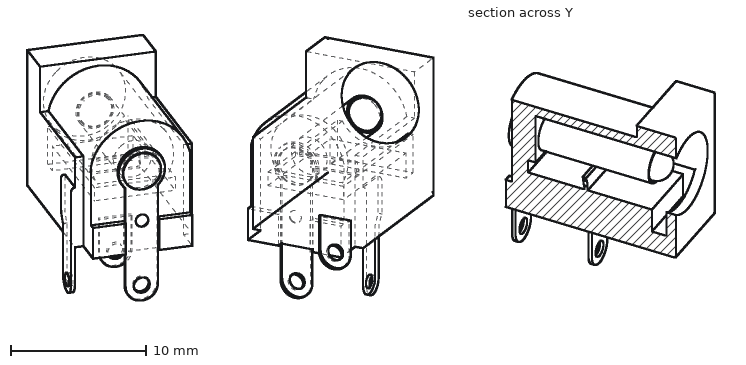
import cadquery as cq
import math


HOUSING_WIDTH = 9.0
OVERALL_HEIGHT = 15.01
HOUSING_HEIGHT = 11.0
FLANGE_DEPTH = 3.3
FLANGE_EDGE_RADIUS = 0.2
SHOULDER_HEIGHT = 7.31
TERMINAL_SIDE_END = 11.85
PLAIN_SIDE_END = 12.08
BARREL_END = 13.7
BARREL_RADIUS = 3.93
AXIS_HEIGHT = 6.53
FOOT_END = 14.2
FOOT_HEIGHT = 2.5
FOOT_SLOT_WIDTH = 2.63

BORE_RADIUS = 3.2
BORE_DEPTH = 11.71
LIP_DEPTH = 0.83
TRENCH_END = 2.01
TRENCH_FLOOR = 1.8
POCKET_WIDTH = 6.27
POCKET_FLOOR = 3.8
POCKET_TOP = 4.86
POCKET_END = 12.31

SHEET = 0.3
LEG_WIDTH = 2.5
LEG_HOLE_RADIUS = 0.62
LEG_BOTTOM = HOUSING_HEIGHT - OVERALL_HEIGHT
FRONT_LEG_START = 7.35
LEAF_BASE_WIDTH = 3.9
LEAF_TOP_WIDTH = 3.66
LEAF_LEAN = 0.14
SIDE_LEG_WIDTH = 2.01
SIDE_HEAD_WIDTH = 2.5
SIDE_HOLE_RADIUS = 0.51
SIDE_TAPER_TOP = 1.89
SIDE_TAPER_BOTTOM = 1.11
SIDE_BEND_RADIUS = 0.29

PLATE_RADIUS = 1.8
PIN_RADIUS = 1.47
PIN_HEAD_END = 14.11
PIN_SHOULDER = 2.54
GROOVE_RADIUS = 1.37
GROOVE_DEPTH = 0.09
TIP_RADIUS = 1.28
DIMPLE_RADIUS = 0.48
DIMPLE_HEIGHT = 0.17
DIMPLE_EDGE_RADIUS = 0.12


def block(x_start, x_end, y_start, y_end, z_start, z_end):
    size = (x_end - x_start, y_end - y_start, z_end - z_start)
    return cq.Workplane("XY").box(*size, centered=False).translate((x_start, y_start, z_start))


def rod(x_start, x_end, radius, z=AXIS_HEIGHT):
    return cq.Workplane("YZ", origin=(x_start, 0, z)).circle(radius).extrude(x_end - x_start)


def pin_leg(x_start, top):
    """Upright strip facing along X with a round, drilled lower end."""
    end_centre = LEG_BOTTOM + LEG_WIDTH / 2
    half_width = LEG_WIDTH / 2
    strip = block(x_start, x_start + SHEET, -half_width, half_width, end_centre, top)
    strip = strip.union(rod(x_start, x_start + SHEET, half_width, end_centre))
    return strip.cut(rod(x_start, x_start + SHEET, LEG_HOLE_RADIUS, end_centre))


def housing_shell():
    """Square flange, round-topped barrel, wide lower body and a slotted foot at the rear."""
    half_width = HOUSING_WIDTH / 2
    flange = block(0, FLANGE_DEPTH, -half_width, half_width, 0, HOUSING_HEIGHT)
    flange = flange.faces("<X").edges().fillet(FLANGE_EDGE_RADIUS)

    barrel_half_width = math.sqrt(BARREL_RADIUS**2 - (SHOULDER_HEIGHT - AXIS_HEIGHT) ** 2)
    barrel = rod(FLANGE_DEPTH, BARREL_END, BARREL_RADIUS).intersect(
        block(FLANGE_DEPTH, BARREL_END, -barrel_half_width, barrel_half_width, 0, HOUSING_HEIGHT)
    )
    trunk = block(FLANGE_DEPTH, BARREL_END, -barrel_half_width, barrel_half_width, 0, SHOULDER_HEIGHT)
    terminal_side = block(FLANGE_DEPTH, TERMINAL_SIDE_END, -half_width, 0, 0, SHOULDER_HEIGHT)
    plain_side = block(FLANGE_DEPTH, PLAIN_SIDE_END, 0, half_width, 0, SHOULDER_HEIGHT)
    foot = block(BARREL_END, FOOT_END, -barrel_half_width, barrel_half_width, 0, FOOT_HEIGHT)
    foot = foot.cut(block(BARREL_END, FOOT_END, -FOOT_SLOT_WIDTH / 2, FOOT_SLOT_WIDTH / 2, 0, FOOT_HEIGHT))
    return flange.union(barrel).union(trunk).union(terminal_side).union(plain_side).union(foot)


def socket_cavity():
    """Bore with a wide pocket below it, leaving a lip at the mouth and a trench behind the lip."""
    half_width = POCKET_WIDTH / 2
    pocket = block(LIP_DEPTH, POCKET_END, -half_width, half_width, POCKET_FLOOR, POCKET_TOP)
    trench = block(LIP_DEPTH, TRENCH_END, -half_width, half_width, TRENCH_FLOOR, POCKET_FLOOR)
    uncut_base = block(LIP_DEPTH, BORE_DEPTH, -half_width, half_width, TRENCH_FLOOR, POCKET_FLOOR)
    return rod(0, BORE_DEPTH, BORE_RADIUS).cut(uncut_base).union(pocket).union(trench)


def spring_leaf():
    """Sheet that rises from the front leg, leans back, narrows upwards and has one ear at its top."""
    half_base = LEAF_BASE_WIDTH / 2
    half_top = LEAF_TOP_WIDTH / 2
    outline = [
        (-half_base, POCKET_FLOOR),
        (half_base, POCKET_FLOOR),
        (half_top, POCKET_TOP - SHEET),
        (POCKET_WIDTH / 2, POCKET_TOP - SHEET),
        (POCKET_WIDTH / 2, POCKET_TOP),
        (-half_top, POCKET_TOP),
    ]
    profile = [
        (FRONT_LEG_START, POCKET_FLOOR),
        (FRONT_LEG_START + SHEET, POCKET_FLOOR),
        (FRONT_LEG_START + SHEET + LEAF_LEAN, POCKET_TOP),
        (FRONT_LEG_START + LEAF_LEAN, POCKET_TOP),
    ]
    face = cq.Workplane("YZ").polyline(outline).close().extrude(BORE_DEPTH)
    side = cq.Workplane("XZ").polyline(profile).close().extrude(POCKET_WIDTH / 2, both=True)
    return face.intersect(side)


def side_terminal():
    """Strip lying on the -Y side, flush with the end of the housing's wide body."""
    leg_start = TERMINAL_SIDE_END - SIDE_LEG_WIDTH
    head_start = TERMINAL_SIDE_END - SIDE_HEAD_WIDTH
    end_radius = SIDE_LEG_WIDTH / 2
    end_centre = (TERMINAL_SIDE_END - end_radius, LEG_BOTTOM + end_radius)
    strip = (
        cq.Workplane("XZ", origin=(0, -HOUSING_WIDTH / 2, 0))
        .moveTo(TERMINAL_SIDE_END, POCKET_TOP)
        .lineTo(head_start, POCKET_TOP)
        .lineTo(head_start, SIDE_TAPER_TOP)
        .lineTo(leg_start, SIDE_TAPER_BOTTOM)
        .lineTo(leg_start, end_centre[1])
        .threePointArc((end_centre[0], LEG_BOTTOM), (TERMINAL_SIDE_END, end_centre[1]))
        .close()
        .moveTo(*end_centre)
        .circle(SIDE_HOLE_RADIUS)
        .extrude(SHEET)
    )
    return strip.faces(">Z").edges("<Y").fillet(SIDE_BEND_RADIUS)


def make_housing():
    """Shell with the side terminal, the spring leaf and the front leg as parts of one solid."""
    shell = housing_shell().cut(socket_cavity()).union(spring_leaf())
    shell = shell.cut(rod(BORE_DEPTH, BARREL_END, PIN_RADIUS))
    return shell.union(side_terminal()).union(pin_leg(FRONT_LEG_START, 0))


def make_pin_contact():
    """Domed pin with a groove behind its tip, riveted into a round-topped plate with a leg."""
    tip_base = PIN_SHOULDER + GROOVE_DEPTH
    shaft = (
        cq.Workplane("XY")
        .moveTo(tip_base - TIP_RADIUS, 0)
        .radiusArc((tip_base, TIP_RADIUS), TIP_RADIUS)
        .lineTo(PIN_SHOULDER, GROOVE_RADIUS)
        .lineTo(PIN_SHOULDER, PIN_RADIUS)
        .lineTo(PIN_HEAD_END, PIN_RADIUS)
        .lineTo(PIN_HEAD_END, 0)
        .close()
        .revolve(360, (0, 0, 0), (1, 0, 0))
        .translate((0, 0, AXIS_HEIGHT))
    )
    plate = rod(BARREL_END, BARREL_END + SHEET, PLATE_RADIUS)
    leg = pin_leg(BARREL_END, AXIS_HEIGHT)
    dimple = rod(BARREL_END + SHEET, BARREL_END + SHEET + DIMPLE_HEIGHT, DIMPLE_RADIUS, FOOT_HEIGHT)
    dimple = dimple.faces(">X").edges().fillet(DIMPLE_EDGE_RADIUS)
    return shaft.union(plate).union(leg).union(dimple)


housing = make_housing()
pin_contact = make_pin_contact()
result = cq.Compound.makeCompound([housing.val(), pin_contact.val()])